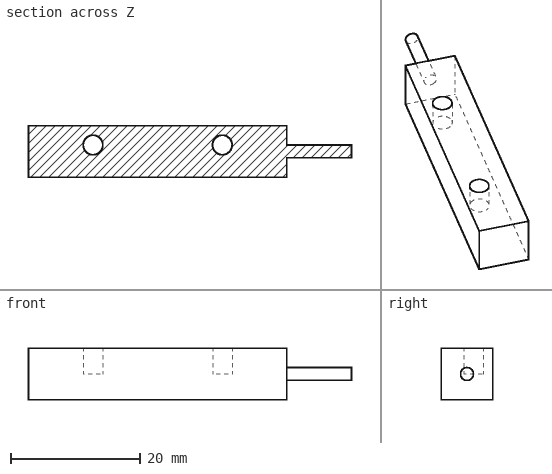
import cadquery as cq

body_length = 40.0
body_width = 8.0
body_height = 8.0

cable_length = 10.0
cable_diameter = 2.0

hole_diameter = 3.0
hole_depth = body_height / 2
hole_spacing = body_length / 2
hole_offset_y = 1.0


def make_body():
    """Housing centred on the origin."""
    return cq.Workplane("XY").box(body_length, body_width, body_height)


def add_cable(body):
    """Cable centred on the +X end face."""
    cable = (
        cq.Workplane("YZ", origin=(body_length / 2, 0, 0))
        .circle(cable_diameter / 2)
        .extrude(cable_length)
    )
    return body.union(cable)


def cut_mounting_holes(body):
    """Two flat-bottomed holes, symmetric about the middle of the housing."""
    centres = [(side * hole_spacing / 2, hole_offset_y) for side in (-1, 1)]
    return (
        body.faces(">Z")
        .workplane(origin=(0, 0, body_height / 2))
        .pushPoints(centres)
        .hole(hole_diameter, hole_depth)
    )


result = add_cable(cut_mounting_holes(make_body()))